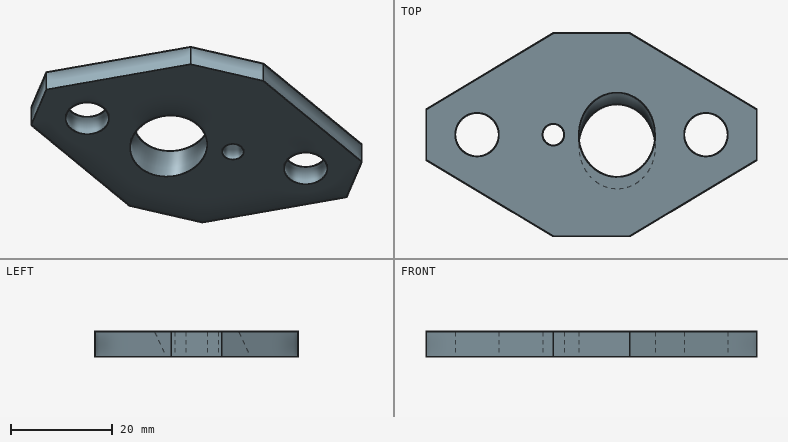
import cadquery as cq
import math

length = 65.0
width = 40.0
thickness = 5.0
long_side_flat = 15.0
end_flat = 10.0

mount_diameter = 8.5
mount_spacing = 45.0

small_diameter = 4.2
small_x = -7.5

port_diameter = 15.0
port_x = 5.0
port_tilt = 25.0


def make_plate():
    """Rectangle with four cut corners, standing on Z = 0."""
    end_x = length / 2
    side_y = width / 2
    flat_x = long_side_flat / 2
    flat_y = end_flat / 2
    outline = [
        (end_x, -flat_y),
        (end_x, flat_y),
        (flat_x, side_y),
        (-flat_x, side_y),
        (-end_x, flat_y),
        (-end_x, -flat_y),
        (-flat_x, -side_y),
        (flat_x, -side_y),
    ]
    return cq.Workplane("XY").polyline(outline).close().extrude(thickness)


def straight_holes(diameter, centers):
    """Vertical cylinders as deep as the plate is thick."""
    return cq.Workplane("XY").pushPoints(centers).circle(diameter / 2).extrude(thickness)


def inclined_port():
    """Tilted cylinder, long enough to clear both faces of the plate."""
    tilt = math.radians(port_tilt)
    axis = cq.Vector(0, math.sin(tilt), math.cos(tilt))
    reach = thickness / math.cos(tilt) + port_diameter * math.tan(tilt)
    crossing = cq.Vector(port_x, 0, thickness)
    start = crossing - axis * reach
    return cq.Solid.makeCylinder(port_diameter / 2, 2 * reach, start, axis)


mount_centers = [(-mount_spacing / 2, 0), (mount_spacing / 2, 0)]

result = (
    make_plate()
    .cut(straight_holes(mount_diameter, mount_centers))
    .cut(straight_holes(small_diameter, [(small_x, 0)]))
    .cut(inclined_port())
)